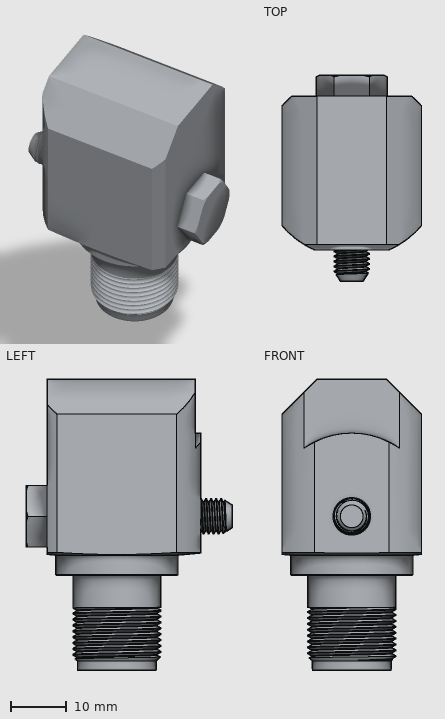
import cadquery as cq
import math


BLOCK_WIDTH = 25.15
BLOCK_TURNED_DIA = 33.1
BLOCK_BACK = 12.6
BLOCK_FRONT = -15.15
UPPER_FRONT = -14.15
BLOCK_BOTTOM = 20.7
BLOCK_TOP = 52.4
TOP_CHAMFER = 6.3
BASE_CONE_RISE = 0.5
BOSS_RADIUS = 15.0
SCREW_HEIGHT = 27.7
SCREW_HOLE_DIA = 6.75

FLANGE_DIA = 22.05
FLANGE_BOTTOM = 17.1
CONNECTOR_DIA = 15.9
CONNECTOR_THREAD_TOP = 11.3
CONNECTOR_THREAD_BOTTOM = 1.7
CONNECTOR_TIP_DIA = 14.25
CONNECTOR_THREAD_TURNS = 9.1
CONNECTOR_THREAD_ANGLE = -110.0
FLANGE_CHAMFER = 0.15
TIP_CHAMFER_HEIGHT = 0.3
TIP_CHAMFER_DEPTH = 0.05

SCREW_DIA = 6.35
SCREW_TIP = -20.8
SCREW_TIP_DIA = 4.1
SCREW_CONE_LENGTH = 1.8
SCREW_THREAD_LENGTH = 7.5
SCREW_THREAD_TURNS = 8.3
SCREW_THREAD_ANGLE = 0.0
HEAD_FLATS = 11.1
HEAD_HEIGHT = 3.75
HEX_SIDES = 6
HEAD_CHAMFER_DIA = 11.7
HEAD_CHAMFER_ANGLE = 30.0

THREAD_DEPTH_RATIO = 0.61
ROOT_FLAT_RATIO = 0.15
FLANK_ANGLE = 30.0
CREST_CLEARANCE_RATIO = 0.1
CUTTING_ANGLE = -45.0


def cut_thread(blank, diameter, pitch, length, start_angle):
    """Cut a right-hand helical groove along Z, running one turn past both ends of the blank."""
    radius = diameter / 2
    depth = THREAD_DEPTH_RATIO * pitch
    clearance = CREST_CLEARANCE_RATIO * pitch
    root_half = ROOT_FLAT_RATIO * pitch / 2
    mouth_half = root_half + (depth + clearance) * math.tan(math.radians(FLANK_ANGLE))
    root = radius - depth
    mouth = radius + clearance
    bottom = -pitch
    top = length + pitch
    section = [(root, -root_half), (root, root_half), (mouth, mouth_half), (mouth, -mouth_half)]

    helices = [
        cq.Wire.makeHelix(pitch, top - bottom, corner).translate(cq.Vector(0, 0, bottom + level))
        for corner, level in section
    ]
    walls = [cq.Face.makeRuledSurface(helices[i - 1], helices[i]) for i in range(len(helices))]
    starts = [helix.startPoint() for helix in helices]
    ends = [helix.endPoint() for helix in helices]
    caps = [
        cq.Face.makeFromWires(cq.Wire.makePolygon(corners, close=True))
        for corners in (starts, ends)
    ]
    groove = cq.Solid.makeSolid(cq.Shell.makeShell(walls + caps))

    axis = ((0, 0, 0), (0, 0, 1))
    threaded = blank.cut(cq.Workplane(groove).rotate(*axis, CUTTING_ANGLE))
    return threaded.rotate(*axis, start_angle - CUTTING_ANGLE)


def cylinder(diameter, bottom, top):
    return cq.Workplane("XY", origin=(0, 0, bottom)).circle(diameter / 2).extrude(top - bottom)


def make_housing():
    depth = BLOCK_BACK - BLOCK_FRONT
    height = BLOCK_TOP - BLOCK_BOTTOM
    block = (
        cq.Workplane("XY", origin=(0, (BLOCK_BACK + BLOCK_FRONT) / 2, BLOCK_BOTTOM))
        .box(BLOCK_WIDTH, depth, height, centered=(True, True, False))
        .edges("|Y and >Z")
        .chamfer(TOP_CHAMFER)
    )

    turned_radius = BLOCK_TURNED_DIA / 2
    envelope = (
        cq.Workplane("XZ")
        .moveTo(0, BLOCK_BOTTOM)
        .lineTo(FLANGE_DIA / 2, BLOCK_BOTTOM)
        .lineTo(turned_radius, BLOCK_BOTTOM + BASE_CONE_RISE)
        .lineTo(turned_radius, BLOCK_TOP)
        .lineTo(0, BLOCK_TOP)
        .close()
        .revolve(360, (0, 0, 0), (0, 1, 0))
    )
    block = block.intersect(envelope)

    step = UPPER_FRONT - BLOCK_FRONT
    front_plane = cq.Workplane("XZ", origin=(0, UPPER_FRONT, SCREW_HEIGHT))
    setback = front_plane.rect(BLOCK_WIDTH, 2 * (BLOCK_TOP - SCREW_HEIGHT)).extrude(step)
    boss = front_plane.circle(BOSS_RADIUS).extrude(step)
    below_screw = front_plane.center(0, -BLOCK_TOP / 2).rect(BLOCK_WIDTH, BLOCK_TOP).extrude(step)
    block = block.cut(setback.cut(boss).cut(below_screw))

    hole = (
        cq.Workplane("XZ", origin=(0, BLOCK_BACK, SCREW_HEIGHT))
        .circle(SCREW_HOLE_DIA / 2)
        .extrude(depth)
    )
    return block.cut(hole)


def make_connector():
    flange = cylinder(FLANGE_DIA, FLANGE_BOTTOM, BLOCK_BOTTOM).faces("<Z").chamfer(FLANGE_CHAMFER)
    neck = cylinder(CONNECTOR_DIA, CONNECTOR_THREAD_TOP, FLANGE_BOTTOM)
    tip = (
        cylinder(CONNECTOR_TIP_DIA, 0, CONNECTOR_THREAD_BOTTOM)
        .faces("<Z")
        .chamfer(TIP_CHAMFER_HEIGHT, TIP_CHAMFER_DEPTH)
    )

    thread_length = CONNECTOR_THREAD_TOP - CONNECTOR_THREAD_BOTTOM
    lead_in = (CONNECTOR_DIA - CONNECTOR_TIP_DIA) / 2
    blank = cylinder(CONNECTOR_DIA, 0, thread_length).faces("<Z").chamfer(lead_in)
    pitch = thread_length / CONNECTOR_THREAD_TURNS
    thread = cut_thread(blank, CONNECTOR_DIA, pitch, thread_length, CONNECTOR_THREAD_ANGLE)
    thread = thread.translate((0, 0, CONNECTOR_THREAD_BOTTOM))
    return flange.union(neck).union(thread).union(tip)


def make_screw():
    pitch = SCREW_THREAD_LENGTH / SCREW_THREAD_TURNS
    seat = BLOCK_BACK - SCREW_TIP
    blank = (
        cylinder(SCREW_DIA, 0, SCREW_THREAD_LENGTH)
        .faces("<Z")
        .chamfer(SCREW_CONE_LENGTH, (SCREW_DIA - SCREW_TIP_DIA) / 2)
    )
    thread = cut_thread(blank, SCREW_DIA, pitch, SCREW_THREAD_LENGTH, SCREW_THREAD_ANGLE)
    shank = cylinder(SCREW_DIA, SCREW_THREAD_LENGTH, seat)

    head_corners = HEAD_FLATS / math.cos(math.pi / HEX_SIDES)
    head = cq.Workplane("XY", origin=(0, 0, seat)).polygon(HEX_SIDES, head_corners).extrude(HEAD_HEIGHT)
    corner_cut = (head_corners - HEAD_CHAMFER_DIA) / 2
    cone = (
        cylinder(head_corners, seat, seat + HEAD_HEIGHT)
        .faces(">Z")
        .chamfer(corner_cut * math.tan(math.radians(HEAD_CHAMFER_ANGLE)), corner_cut)
    )
    screw = thread.union(shank).union(head.intersect(cone))
    return screw.rotate((0, 0, 0), (1, 0, 0), -90).translate((0, SCREW_TIP, SCREW_HEIGHT))


housing = make_housing().solids()
connector = make_connector().solids()
screw = make_screw().solids()

result = cq.Compound.makeCompound([housing.val(), connector.val(), screw.val()])